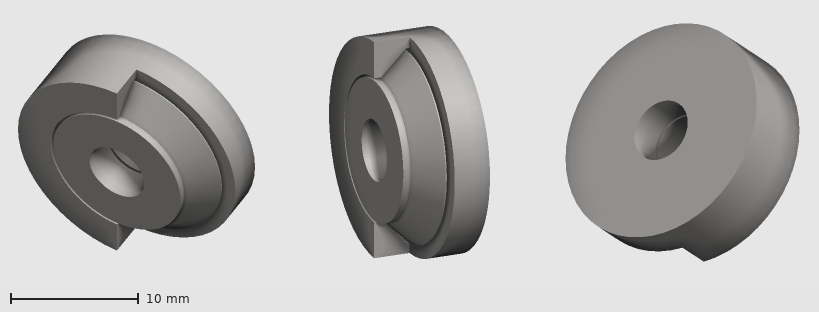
import cadquery as cq

outer_radius = 9.0
total_depth = 6.0
bore_radius = 2.5
clearance = 0.2

cone_front_radius = 5.8
cone_rear_radius = 7.9
cone_land_depth = 0.6
cone_rim_depth = 0.1

web_front_y = 3.0
cone_rear_y = web_front_y - clearance


def revolve_about_y(profile_points):
    """Turn a closed (radius, Y) outline a full turn about the Y axis."""
    return cq.Workplane("XY").polyline(profile_points).close().revolve(360, (0, 0, 0), (0, 1, 0))


def make_housing():
    """Bored disc with a flared pocket, its front half cut away on the +X side."""
    pocket_mouth_radius = cone_front_radius + clearance
    pocket_floor_radius = cone_rear_radius + clearance
    body = revolve_about_y([
        (bore_radius, web_front_y),
        (pocket_floor_radius, web_front_y),
        (pocket_floor_radius, cone_rear_y - cone_rim_depth),
        (pocket_mouth_radius, cone_land_depth),
        (pocket_mouth_radius, 0),
        (outer_radius, 0),
        (outer_radius, total_depth),
        (bore_radius, total_depth),
    ])
    cutaway = cq.Workplane("XY").box(
        outer_radius, web_front_y, 2 * outer_radius, centered=(False, False, True)
    )
    return body.cut(cutaway)


def make_cone():
    """Bored cone that widens towards the web, so the housing lip holds it in."""
    return revolve_about_y([
        (bore_radius, 0),
        (cone_front_radius, 0),
        (cone_front_radius, cone_land_depth),
        (cone_rear_radius, cone_rear_y - cone_rim_depth),
        (cone_rear_radius, cone_rear_y),
        (bore_radius, cone_rear_y),
    ])


housing = make_housing()
cone = make_cone()

result = cq.Compound.makeCompound([housing.val(), cone.val()])